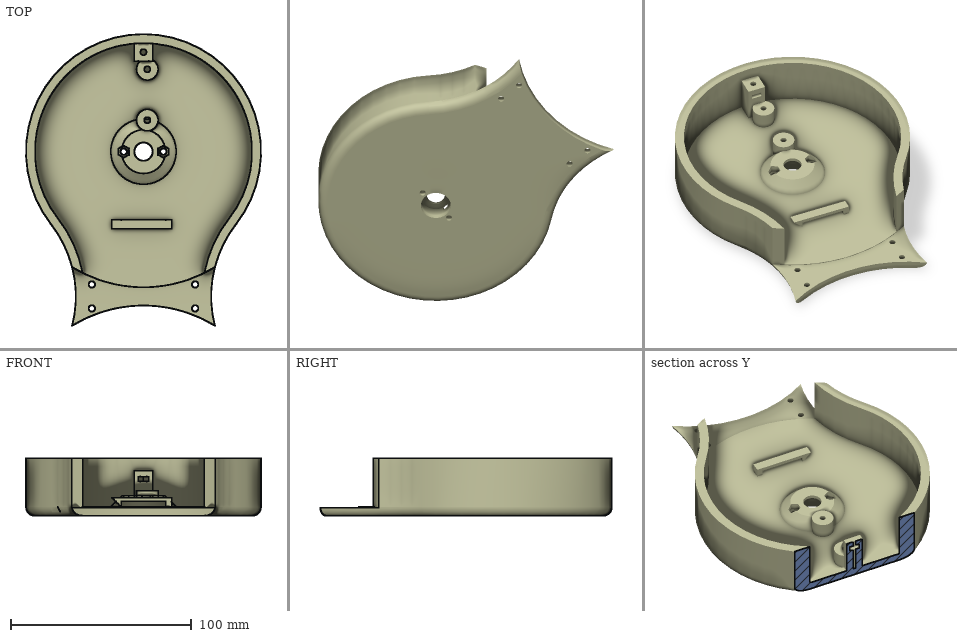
import cadquery as cq
import math

case_height = 32.0
case_radius = 65.0
wall = 5.0
floor_top = 5.0
bottom_fillet = 5.0
neck_radius = case_radius
rim_radius = 75.0
tail_top = 4.5
mate_distance = 160.0
waist_y = -mate_distance / 2
neck_x = math.sqrt((case_radius + neck_radius) ** 2 - waist_y ** 2)
blank_end_y = -106.5

screw_diameter = 3.4
nut_width = 5.8
nut_corners = nut_width / math.cos(math.pi / 6)

tail_hole_x = 28.5
tail_hole_offset = 6.6

hub_base_radius = 18.0
hub_top = 11.0
hub_top_radius = hub_base_radius - (hub_top - floor_top)
shaft_diameter = 10.0
bearing_diameter = 16.5
bearing_lip = 2.0
hub_screw_x = 11.0
hub_nut_depth = 4.0

boss_diameter = 12.0
boss_top = 13.9
boss_x = 2.1
boss_places_y = (17.4, 45.5)

post_width = 10.0
post_top = 25.0
post_back_y = case_radius - wall
post_y = post_back_y - post_width / 2
post_nut_bottom = 19.0
post_nut_height = 2.5

bridge_back_y = -37.7
bridge_depth = 5.0
bridge_top = 10.0
bridge_opening_top = 8.0
bridge_opening_half = 12.4
bridge_leg = 3.0
bridge_overhang = bridge_top - floor_top


def keyhole(inset):
    """Closed keyhole outline, moved inward by the inset."""
    round_radius = case_radius - inset
    side_radius = neck_radius + inset
    reach = case_radius + neck_radius
    join_x = round_radius * neck_x / reach
    join_y = round_radius * waist_y / reach
    waist_x = neck_x - side_radius
    end_x = neck_x - math.sqrt(side_radius ** 2 - (blank_end_y - waist_y) ** 2)
    return (
        cq.Workplane("XY")
        .moveTo(-join_x, join_y)
        .threePointArc((0, round_radius), (join_x, join_y))
        .threePointArc((waist_x, waist_y), (end_x, blank_end_y))
        .lineTo(-end_x, blank_end_y)
        .threePointArc((-waist_x, waist_y), (-join_x, join_y))
        .close()
    )


def cylinder(diameter, bottom, top, x=0, y=0):
    return cq.Workplane("XY", origin=(x, y, bottom)).circle(diameter / 2).extrude(top - bottom)


def nut_pocket(bottom, top, x, y):
    """Hexagonal prism with two corners along Y."""
    return (
        cq.Workplane("XY", origin=(x, y, bottom))
        .transformed(rotate=(0, 0, 90))
        .polygon(6, nut_corners)
        .extrude(top - bottom)
    )


def make_case():
    body = keyhole(0).extrude(case_height).faces("<Z").edges().fillet(bottom_fillet)
    cavity = keyhole(wall).extrude(case_height).translate((0, 0, floor_top))
    mate = cylinder(2 * rim_radius, 0, case_height, y=-mate_distance)
    above_tail = (
        cq.Workplane("XY", origin=(0, 0, tail_top))
        .circle(2 * rim_radius)
        .circle(rim_radius)
        .extrude(case_height)
    )
    body = body.cut(cavity).cut(above_tail).cut(mate)
    for x in (-tail_hole_x, tail_hole_x):
        for y in (waist_y - tail_hole_offset, waist_y + tail_hole_offset):
            body = body.cut(cylinder(screw_diameter, 0, floor_top, x, y))
    return body


def make_hub():
    return (
        cq.Workplane("XZ")
        .moveTo(0, 0)
        .lineTo(hub_base_radius, 0)
        .lineTo(hub_base_radius, floor_top)
        .lineTo(hub_top_radius, hub_top)
        .lineTo(0, hub_top)
        .close()
        .revolve(360, (0, 0, 0), (0, 1, 0))
    )


def cut_hub_holes(body):
    body = body.cut(cylinder(shaft_diameter, 0, hub_top))
    body = body.cut(cylinder(bearing_diameter, 0, hub_top - bearing_lip))
    for x in (-hub_screw_x, hub_screw_x):
        body = body.cut(cylinder(screw_diameter, 0, hub_top, x))
        body = body.cut(nut_pocket(hub_top - hub_nut_depth, hub_top, x, 0))
    return body


def make_boss(y):
    boss = cylinder(boss_diameter, floor_top, boss_top, boss_x, y)
    return boss.cut(cylinder(screw_diameter, floor_top, boss_top, boss_x, y))


def make_post():
    height = post_top - floor_top
    post = (
        cq.Workplane("XY", origin=(0, post_y, floor_top))
        .box(post_width, post_width, height, centered=(True, True, False))
    )
    nut_top = post_nut_bottom + post_nut_height
    nut_entry = (
        cq.Workplane("XY", origin=(0, post_y, post_nut_bottom))
        .box(nut_width, post_width, post_nut_height, centered=(True, True, False))
        .translate((0, -post_width / 2, 0))
    )
    post = post.cut(nut_entry).cut(nut_pocket(post_nut_bottom, nut_top, 0, post_y))
    return post.cut(cylinder(screw_diameter, floor_top, post_top, 0, post_y))


def make_bridge():
    left_foot = -bridge_opening_half
    right_end = bridge_opening_half + bridge_leg
    return (
        cq.Workplane("XZ", origin=(0, bridge_back_y, 0))
        .moveTo(left_foot, floor_top)
        .lineTo(left_foot - bridge_overhang, bridge_top)
        .lineTo(right_end, bridge_top)
        .lineTo(right_end, floor_top)
        .lineTo(bridge_opening_half, floor_top)
        .lineTo(bridge_opening_half, bridge_opening_top)
        .lineTo(left_foot, bridge_opening_top)
        .close()
        .extrude(bridge_depth)
    )


result = cut_hub_holes(make_case().union(make_hub()))
for boss_y in boss_places_y:
    result = result.union(make_boss(boss_y))
result = result.union(make_post()).union(make_bridge())